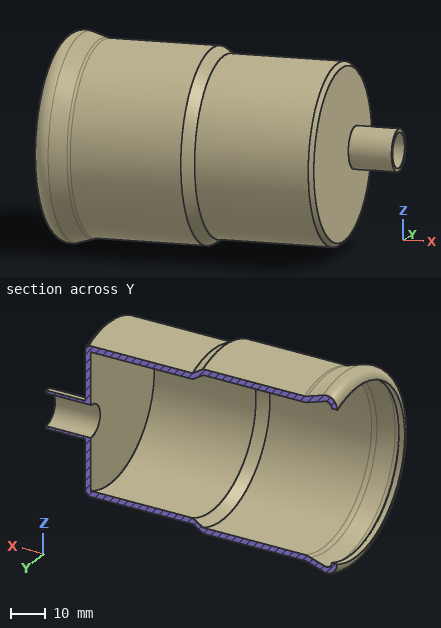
import cadquery as cq
import math

total_length = 97.5
body_length = 84.3
wall = 1.95

bead_outer_radius = 31.0
bead_round = 3.6
bead_inner_radius = bead_outer_radius - bead_round
flare_angle = math.radians(20)

wide_radius = 29.1
narrow_radius = 27.0
neck_end = 11.0
neck_round = 2.8
step_start = 44.85
step_end = 48.4
end_chamfer = 1.3

pipe_radius = 6.3
pipe_bore_radius = 5.3
pipe_offset = 11.1


def point_on_round(center, radius, angle):
    """Point on a circle, with the angle measured from +radial toward +X."""
    return (center[0] + radius * math.sin(angle), center[1] + radius * math.cos(angle))


def revolve_about_x(profile):
    return profile.close().revolve(360, (0, 0, 0), (1, 0, 0))


def barrel_profile(inset, end):
    """Half profile from the rim to the narrow section, offset inward by inset."""
    bead_center = (bead_round, bead_inner_radius)
    bead_radius = bead_round - inset
    neck_center = (neck_end, wide_radius + neck_round)
    neck_radius = neck_round + inset
    flare_turn = math.pi + flare_angle
    return (
        cq.Workplane("XY")
        .moveTo(inset, 0)
        .lineTo(inset, bead_inner_radius)
        .threePointArc(
            point_on_round(bead_center, bead_radius, -math.pi / 4),
            point_on_round(bead_center, bead_radius, flare_angle),
        )
        .lineTo(*point_on_round(neck_center, neck_radius, flare_turn))
        .threePointArc(
            point_on_round(neck_center, neck_radius, math.pi + flare_angle / 2),
            (neck_end, wide_radius - inset),
        )
        .lineTo(step_start, wide_radius - inset)
        .lineTo(step_end, narrow_radius - inset)
        .lineTo(end, narrow_radius - inset)
        .lineTo(end, 0)
    )


def x_cylinder(radius, start, end, y=0):
    return cq.Workplane("YZ", origin=(start, y, 0)).circle(radius).extrude(end - start)


def make_cup():
    outer = revolve_about_x(barrel_profile(0, body_length))
    outer = outer.faces(">X").edges().chamfer(end_chamfer)
    cavity = revolve_about_x(barrel_profile(wall, body_length - wall))
    mouth = x_cylinder(bead_inner_radius, 0, bead_round)
    return outer.cut(cavity).cut(mouth)


floor = body_length - wall
pipe = x_cylinder(pipe_radius, floor, total_length, pipe_offset)
pipe_bore = x_cylinder(pipe_bore_radius, floor, total_length, pipe_offset)
result = make_cup().union(pipe).cut(pipe_bore)